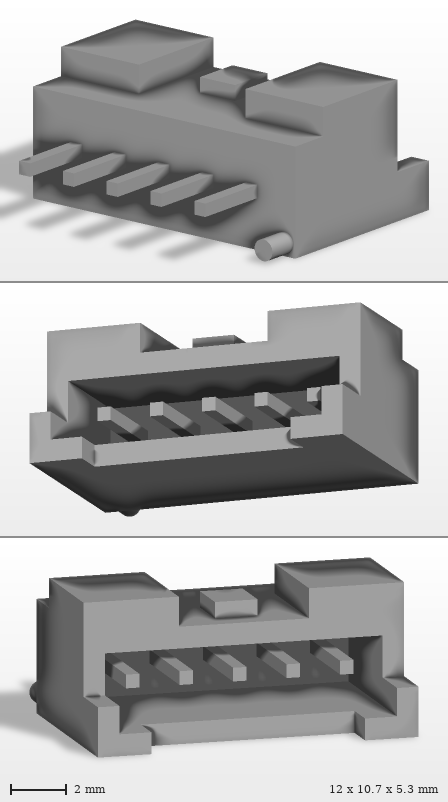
import cadquery as cq

width = 12.0
body_depth = 7.7
roof_depth = 5.9
body_height = 4.2
rim_height = 1.85
wall = 0.8

back_wall = 1.61
cavity_width = width - 2 * wall
cavity_height = body_height - 2 * wall

notch_width = 7.99
notch_start = 6.4

block_width = 3.56
total_height = 5.3
tab_width = 1.6
tab_start = 3.07
tab_depth = 1.87
tab_height = 4.8

pin_count = 5
pin_pitch = 2.0
pin_size = 0.5
pin_z = 2.2
pin_reach = 3.0
pin_inner_end = 5.4
peg_diameter = 0.82
peg_length = 1.2
peg_inset = 0.5


def box(x_center, x_size, y_start, y_end, z_start, z_end):
    """Box centred on x_center, spanning the given Y and Z ranges."""
    return (
        cq.Workplane("XY")
        .box(x_size, y_end - y_start, z_end - z_start, centered=(True, False, False))
        .translate((x_center, y_start, z_start))
    )


def make_housing():
    """Shell with a low rear rim, an open cavity and a notched floor."""
    housing = box(0, width, 0, roof_depth, 0, body_height)
    housing = housing.union(box(0, width, 0, body_depth, 0, rim_height))
    for side in (-1, 1):
        block_x = side * (width - block_width) / 2
        housing = housing.union(
            box(block_x, block_width, back_wall, roof_depth, 0, total_height)
        )
    housing = housing.union(
        box(0, tab_width, tab_start, tab_start + tab_depth, body_height - wall, tab_height)
    )
    cavity = box(0, cavity_width, back_wall, body_depth, wall, wall + cavity_height)
    notch = box(0, notch_width, notch_start, body_depth, 0, rim_height)
    return housing.cut(cavity).cut(notch)


def add_pins(part):
    """Row of square pins running through the back wall into the cavity."""
    for index in range(pin_count):
        pin_x = (index - (pin_count - 1) / 2) * pin_pitch
        part = part.union(
            box(pin_x, pin_size, -pin_reach, pin_inner_end, pin_z - pin_size / 2, pin_z + pin_size / 2)
        )
    return part


def make_peg():
    """Round locating peg on the -Y face, in the lower +X corner."""
    return (
        cq.Workplane("XZ")
        .center(width / 2 - peg_inset, peg_inset)
        .circle(peg_diameter / 2)
        .extrude(peg_length)
    )


result = add_pins(make_housing()).union(make_peg())